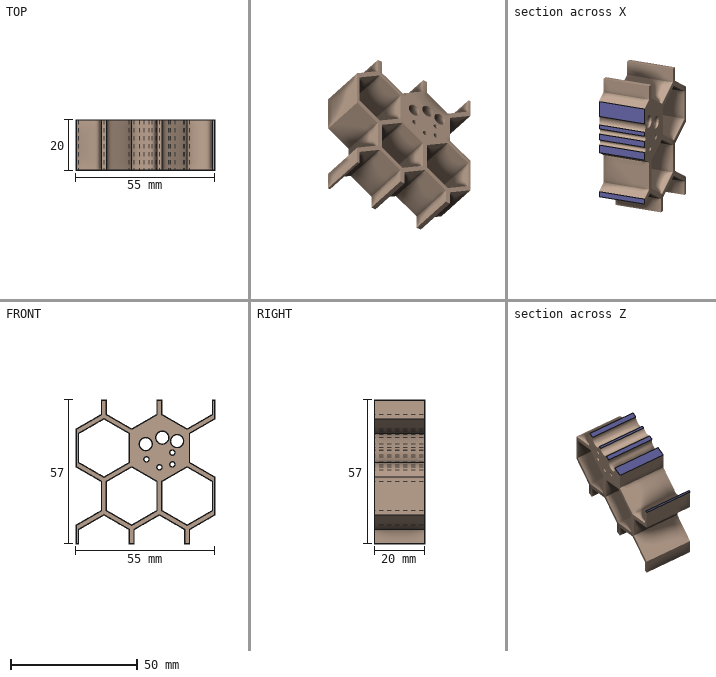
import cadquery as cq
import math

width = 55.0
depth = 20.0
height = 57.05
cells_across = 2.5
cell_pitch = width / cells_across
wall = 2.0
row_pitch = cell_pitch * math.sqrt(3) / 2
opening_across_corners = (cell_pitch - wall) / math.cos(math.pi / 6)

large_hole_diameter = 5.1
large_holes = [(-5.4, 1.55), (1.15, 4.1), (7.0, 2.75)]
small_hole_diameter = 2.0
small_holes = [(-5.15, -4.5), (5.15, -1.8), (5.15, -6.5), (0.0, -7.65)]

row_shift = 0.25 * cell_pitch
filled_cell = (row_shift, 0.5 * row_pitch)
row_count = 4
cells_per_row = 5


def open_cells():
    """Centres of the lattice cells covering the block, except the filled one."""
    centres = []
    for row in range(row_count):
        z = (row - (row_count - 1) / 2) * row_pitch
        shift = row_shift if row % 2 == 0 else -row_shift
        for column in range(cells_per_row):
            x = (column - cells_per_row // 2) * cell_pitch + shift
            centres.append((x, z))
    return [c for c in centres if math.dist(c, filled_cell) > wall]


def hexagon_cutters():
    """Pointed-top hexagonal prisms, one for each open cell."""
    corners = []
    for corner in range(6):
        angle = math.radians(30 + 60 * corner)
        radius = opening_across_corners / 2
        corners.append((radius * math.cos(angle), radius * math.sin(angle)))
    profile = cq.Workplane("XZ").polyline(corners).close()
    prism = profile.extrude(depth / 2, both=True).val()
    return [prism.translate(cq.Vector(x, 0, z)) for x, z in open_cells()]


def drill(body, diameter, places):
    """Drill holes along Y through the filled cell."""
    tool = (
        cq.Workplane("XZ", origin=(filled_cell[0], 0, filled_cell[1]))
        .pushPoints(places)
        .circle(diameter / 2)
        .extrude(depth / 2, both=True)
    )
    return body.cut(tool)


result = cq.Workplane("XY").box(width, depth, height)
for cutter in hexagon_cutters():
    result = result.cut(cq.Workplane(obj=cutter))
result = drill(result, large_hole_diameter, large_holes)
result = drill(result, small_hole_diameter, small_holes)